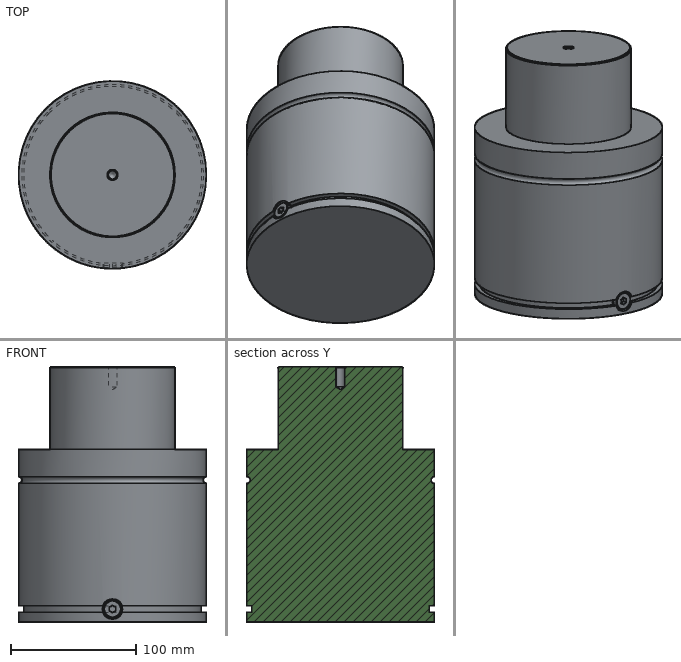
import cadquery as cq
import math

body_diameter = 150.0
rod_diameter = 100.0
body_height = 138.0
total_height = 204.0
rod_chamfer = 1.0

body_radius = body_diameter / 2
rod_radius = rod_diameter / 2

round_groove_radius = 2.5
round_groove_z = 113.5

base_groove_bottom = 8.0
base_groove_width = 5.0
base_groove_depth = 4.0

rod_hole_diameter = 6.8
rod_hole_mouth_diameter = 8.5
rod_hole_depth = 16.0
drill_point_angle = 118.0

port_diameter = 16.0
port_pocket_depth = 5.0
plug_diameter = 14.0
plug_chamfer = 0.5
port_face_depth = 0.8
socket_sides = 6
socket_across_flats = 5.0
socket_depth = 4.0
port_z = base_groove_bottom + base_groove_width / 2


def make_cylinder_and_rod():
    """Revolve the stepped half outline, with both ring grooves, about Z."""
    base_groove_radius = body_radius - base_groove_depth
    base_groove_top = base_groove_bottom + base_groove_width
    return (
        cq.Workplane("XZ")
        .moveTo(0, 0)
        .lineTo(body_radius, 0)
        .lineTo(body_radius, base_groove_bottom)
        .lineTo(base_groove_radius, base_groove_bottom)
        .lineTo(base_groove_radius, base_groove_top)
        .lineTo(body_radius, base_groove_top)
        .lineTo(body_radius, round_groove_z - round_groove_radius)
        .threePointArc(
            (body_radius - round_groove_radius, round_groove_z),
            (body_radius, round_groove_z + round_groove_radius),
        )
        .lineTo(body_radius, body_height)
        .lineTo(rod_radius, body_height)
        .lineTo(rod_radius, total_height - rod_chamfer)
        .lineTo(rod_radius - rod_chamfer, total_height)
        .lineTo(0, total_height)
        .close()
        .revolve(360, (0, 0, 0), (0, 1, 0))
    )


def make_rod_hole():
    """Revolve the hole outline: 45 degree mouth, straight bore, conical end."""
    hole_radius = rod_hole_diameter / 2
    mouth_radius = rod_hole_mouth_diameter / 2
    mouth_depth = mouth_radius - hole_radius
    point_length = hole_radius / math.tan(math.radians(drill_point_angle / 2))
    bore_bottom = total_height - rod_hole_depth
    return (
        cq.Workplane("XZ")
        .moveTo(0, total_height)
        .lineTo(mouth_radius, total_height)
        .lineTo(hole_radius, total_height - mouth_depth)
        .lineTo(hole_radius, bore_bottom)
        .lineTo(0, bore_bottom - point_length)
        .close()
        .revolve(360, (0, 0, 0), (0, 1, 0))
    )


def port_cylinder(diameter, inner_distance, outer_distance):
    """Cylinder along -Y on the port axis, between two distances from the Z axis."""
    return (
        cq.Workplane("XZ", origin=(0, -inner_distance, port_z))
        .circle(diameter / 2)
        .extrude(outer_distance - inner_distance)
    )


def add_port(part):
    """Sink a round pocket across the base groove and stand a smaller plug with a hex socket in it."""
    pocket_floor = body_radius - port_pocket_depth
    face_distance = body_radius - port_face_depth
    pocket = port_cylinder(port_diameter, pocket_floor, body_radius)
    plug = port_cylinder(plug_diameter, pocket_floor, face_distance).faces("<Y").chamfer(plug_chamfer)
    socket_corner_diameter = socket_across_flats / math.cos(math.pi / socket_sides)
    socket = (
        cq.Workplane("XZ", origin=(0, -face_distance, port_z))
        .transformed(rotate=(0, 0, 90))
        .polygon(socket_sides, socket_corner_diameter)
        .extrude(-socket_depth)
    )
    return part.cut(pocket).union(plug).cut(socket)


result = add_port(make_cylinder_and_rod().cut(make_rod_hole()))